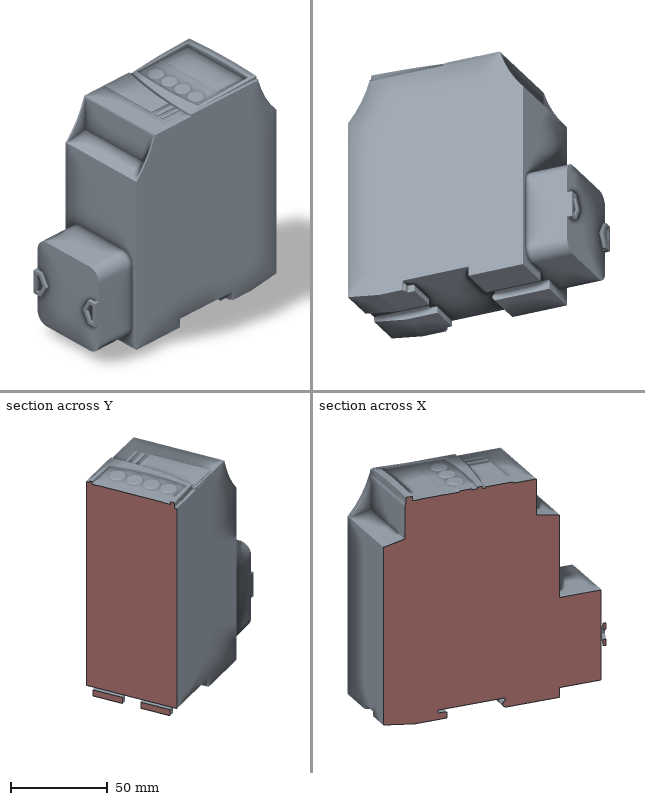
import cadquery as cq

width = 52.7
depth = 100.0
body_top = 125.5
total_height = 129.0
total_depth = 126.3
side_x = width / 2
shoulder_z = 102.7
front_inset = 13.3
back_inset = 12.6
shoulder_sag = (1.3, 0.8)
foot_rise = 2.6
foot_run = 17.8

cheek = 1.0
front_pocket_inset = 13.0
back_pocket_inset = 12.0
pocket_floor_z = 105.2
back_cheek = 2.7
back_cheek_ledge = (1.0, 0.5)

notch_back = 31.2
notch_front = 68.9
notch_height = 5.3
channel_width = 10.3
hook_height = 3.9
hook_reach = 5.0
hook_base = 1.0
hook_nose_radius = 1.0
hook_inset = 3.9
hook_base_inset = 1.3
lip_reach = 1.4
lip_bottom = 0.4

plug_width = 45.5
plug_length = 23.5
plug_bottom = 5.3
plug_top = 56.5
plug_radius = 6.8
plug_mid_z = (plug_bottom + plug_top) / 2
plug_face_y = -depth - plug_length

latch_gap = 1.0
latch_total = total_depth - depth - plug_length
latch_height = 14.2
latch_shoulder = 5.0
latch_tip = 9.0
latch_stem = 1.8
eye_height = 10.3
eye_shoulder = 4.0
eye_tip = 6.8

seat_z = 124.3
cover_back = 12.6
cover_left = -25.3
cover_right = 24.6
cover_straight = 15.6
cover_left_mid = (-24.9, -36.1)
cover_left_front = (-23.6, -55.0)
front_edge_start = (-side_x, -54.5)
front_edge_mid = (-3.0, -59.1)
front_edge_end = (cover_right, -60.9)
strip_top = 126.6

dome_sections = [
    (cover_back, total_height, 128.0),
    (36.1, 128.4, 127.2),
    (61.3, 126.7, 126.3),
]

window_left = -22.3
window_right = 22.7
window_back = 16.6
window_corner = 52.8
window_front = 54.6
window_floor = 126.0
screen_width = 37.3
screen_height = 14.7
screen_middle = (0.3, -28.1)
screen_radius = 1.4
screen_rise = 0.1
button_count = 4
button_pitch = 9.87
button_row = (0.1, -46.6)
button_radius = 4.8
button_top_radius = 4.1
button_height = 0.6

door_right = 21.3
door_front = 74.7
door_side_gap = 0.1
door_top = 125.6
panel_top = 126.2
panel_front = 73.5
panel_gap = 1.0
panel_spans = [(-25.2, 10.0), (12.4, 14.5), (16.8, 18.3)]


def box(x0, x1, y0, y1, z0, z1):
    return cq.Workplane("XY").box(x1 - x0, y1 - y0, z1 - z0, centered=False).translate((x0, y0, z0))


def extrude_across(sketch, half_width):
    """Extrude a sketch drawn in the YZ plane to both sides of the middle."""
    return sketch.close().extrude(half_width, both=True)


def shoulder_profile():
    sag_y, sag_z = shoulder_sag
    mid_z = (shoulder_z + body_top) / 2 - sag_z
    return (
        cq.Workplane("YZ")
        .moveTo(-foot_run, 0)
        .lineTo(0, foot_rise)
        .lineTo(0, shoulder_z)
        .threePointArc((-back_inset / 2 - sag_y, mid_z), (-back_inset, body_top))
        .lineTo(front_inset - depth, body_top)
        .threePointArc((front_inset / 2 + sag_y - depth, mid_z), (-depth, shoulder_z))
        .lineTo(-depth, 0)
    )


def shoulder_pocket(face_y, wall_y):
    """Pocket between the cheeks, its floor rising from the outer face to an upright wall."""
    profile = (
        cq.Workplane("YZ")
        .moveTo(face_y, shoulder_z)
        .lineTo(wall_y, pocket_floor_z)
        .lineTo(wall_y, total_height)
        .lineTo(face_y, total_height)
    )
    return extrude_across(profile, side_x - cheek)


def make_housing():
    housing = extrude_across(shoulder_profile(), side_x)
    front_pocket = shoulder_pocket(-depth, front_pocket_inset - depth)
    ledge_x = side_x - back_cheek
    back_limit = box(-side_x, ledge_x, -depth, 0, 0, total_height)
    back_pocket = shoulder_pocket(0, -back_pocket_inset).intersect(back_limit)
    ledge_width, ledge_drop = back_cheek_ledge
    ledge_zone = box(ledge_x, ledge_x + ledge_width, -back_pocket_inset, 0, shoulder_z, total_height)
    ledge_cut = ledge_zone.cut(housing.translate((0, -ledge_drop, 0)))
    notch = box(-side_x, side_x, -notch_front, -notch_back, 0, notch_height)
    return housing.cut(front_pocket).cut(back_pocket).cut(ledge_cut).cut(notch)


def make_rail_hooks():
    base = box(
        hook_base_inset - side_x, side_x - hook_base_inset,
        -notch_back - hook_base, -notch_back, 0, hook_height,
    )
    nose_half = side_x - hook_inset
    nose = box(-nose_half, nose_half, -notch_back - hook_reach, -notch_back, 0, hook_height)
    nose = nose.edges(">Z and <Y").fillet(hook_nose_radius)
    lip = extrude_across(
        cq.Workplane("YZ")
        .moveTo(-notch_front, lip_bottom)
        .threePointArc(
            (-notch_front + lip_reach, (lip_bottom + hook_height) / 2),
            (-notch_front, hook_height),
        ),
        nose_half,
    )
    return base.union(nose).union(lip)


def make_plug():
    plug = box(-plug_width / 2, plug_width / 2, plug_face_y, -depth, plug_bottom, plug_top)
    return plug.edges("|Y").fillet(plug_radius)


def arrow_plate(base_x, shoulder_x, tip_x, height, front_y, thickness):
    """Five-sided plate pointing to +X, its front at front_y."""
    return (
        cq.Workplane("XZ", origin=(0, front_y, plug_mid_z))
        .moveTo(base_x, -height / 2)
        .lineTo(shoulder_x, -height / 2)
        .lineTo(tip_x, 0)
        .lineTo(shoulder_x, height / 2)
        .lineTo(base_x, height / 2)
        .close()
        .extrude(-thickness)
    )


def make_latch():
    """Left-hand latch: a stem on the plug carries an arrow plate with an eye."""
    edge = -plug_width / 2
    stem_inner = edge + latch_stem
    front_y = plug_face_y - latch_total
    plate_thickness = latch_total - latch_gap
    plate = arrow_plate(
        edge, edge + latch_shoulder, edge + latch_tip, latch_height, front_y, plate_thickness
    )
    eye = arrow_plate(
        stem_inner, edge + eye_shoulder, edge + eye_tip, eye_height, front_y, plate_thickness
    )
    stem = box(
        edge, stem_inner, front_y + plate_thickness, plug_face_y,
        plug_mid_z - latch_height / 2, plug_mid_z + latch_height / 2,
    )
    return plate.cut(eye).union(stem)


def behind_front_edge(shift):
    """Everything behind the curved front edge, which is moved forward by shift."""
    return (
        cq.Workplane("XY")
        .moveTo(-side_x, -cover_back)
        .lineTo(front_edge_start[0], front_edge_start[1] - shift)
        .threePointArc(
            (front_edge_mid[0], front_edge_mid[1] - shift),
            (front_edge_end[0], front_edge_end[1] - shift),
        )
        .lineTo(cover_right, -cover_back)
        .close()
        .extrude(total_height)
    )


def make_dome():
    """Block with a crowned top, from the seat up."""
    dome = cq.Workplane("XZ")
    last_y = 0
    for distance, middle_z, edge_z in dome_sections:
        dome = (
            dome.workplane(offset=distance - last_y)
            .moveTo(-side_x, seat_z)
            .lineTo(side_x, seat_z)
            .lineTo(side_x, edge_z)
            .threePointArc((0, middle_z), (-side_x, edge_z))
            .close()
        )
        last_y = distance
    return dome.loft()


def make_cover():
    outline = (
        cq.Workplane("XY")
        .moveTo(cover_right, -cover_back)
        .lineTo(cover_left, -cover_back)
        .lineTo(cover_left, -cover_straight)
        .threePointArc(cover_left_mid, cover_left_front)
        .lineTo(cover_left_front[0], -door_front)
        .lineTo(cover_right, -door_front)
        .close()
        .extrude(total_height)
    )
    window = (
        cq.Workplane("XY", origin=(0, 0, window_floor))
        .moveTo(window_left, -window_back)
        .lineTo(window_left, -window_corner)
        .threePointArc(
            ((window_left + window_right) / 2, -window_front), (window_right, -window_corner)
        )
        .lineTo(window_right, -window_back)
        .close()
        .extrude(total_height - window_floor)
    )
    return make_dome().intersect(outline).intersect(behind_front_edge(0)).cut(window)


def make_screen():
    return (
        cq.Workplane("XY", origin=(*screen_middle, window_floor))
        .rect(screen_width, screen_height)
        .extrude(screen_rise)
        .edges("|Z")
        .fillet(screen_radius)
    )


def make_buttons():
    first_x = button_row[0] - button_pitch * (button_count - 1) / 2
    buttons = cq.Workplane("XY")
    for index in range(button_count):
        cone = cq.Solid.makeCone(
            button_radius, button_top_radius, button_height,
            pnt=cq.Vector(first_x + index * button_pitch, button_row[1], window_floor),
        )
        buttons = buttons.add(cone)
    return buttons.combine()


def make_door():
    door_left = door_side_gap - side_x
    door = box(door_left, door_right, -door_front, -cover_back, seat_z, door_top)
    door = door.cut(behind_front_edge(0))
    raised_limit = behind_front_edge(panel_gap)
    for x0, x1 in panel_spans:
        panel = box(x0, x1, -panel_front, -cover_back, seat_z, panel_top)
        door = door.union(panel.cut(raised_limit))
    return door


cover_seat = box(-side_x, cover_right, -door_front, 0, seat_z, total_height)
cover_seat = cover_seat.intersect(behind_front_edge(0))
door_seat = box(-side_x, door_right, -door_front, -cover_back, seat_z, total_height)

result = make_housing().cut(cover_seat).cut(door_seat)
result = result.union(make_rail_hooks())
channel = box(-channel_width / 2, channel_width / 2, -depth, 0, 0, notch_height)
result = result.cut(channel)

result = result.union(make_plug())
latch = make_latch()
result = result.union(latch).union(latch.mirror("YZ"))

strip = box(cover_right, side_x, front_edge_end[1], -back_inset, seat_z, strip_top)
result = result.union(strip).union(make_cover()).union(make_door())
result = result.union(make_screen()).union(make_buttons())